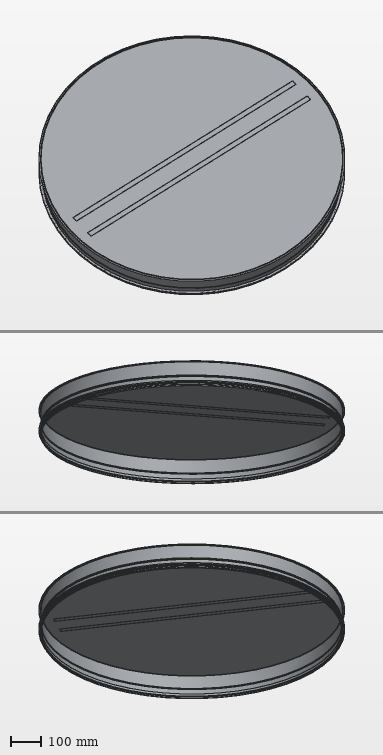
import cadquery as cq

outer_diameter = 1013.0
height = 85.0
sheet = 0.5

outer_radius = outer_diameter / 2
wall_radius = 999.0 / 2
neck_radius = 995.0 / 2
step_radius = 1004.0 / 2

joggle_top = 35.0
joggle_bottom = 32.0
flange_top = 16.0
flange_bottom = 12.0
step_bottom = 9.0

inner_bend_rise = 2.0
inner_shoulder = 5.0

rim_thickness = 2.0
rim_round = rim_thickness / 2
rim_bottom = height - rim_thickness
rim_round_start = outer_radius - rim_round

lid_radius = 1002.0 / 2
lid_bottom = height - sheet

bar_length = 920.0
bar_width = 18.0
bar_thickness = 0.5
bar_spacing = 79.0


def make_shell():
    """Thin turned ring: rounded rim, wall, joggle, neck, stepped flange and skirt."""
    wall_inside = wall_radius - sheet
    neck_inside = neck_radius - sheet
    return (
        cq.Workplane("XZ")
        .moveTo(wall_inside, lid_bottom)
        .lineTo(lid_radius, lid_bottom)
        .lineTo(lid_radius, height)
        .lineTo(rim_round_start, height)
        .threePointArc((outer_radius, height - rim_round), (rim_round_start, rim_bottom))
        .lineTo(wall_radius, rim_bottom)
        .lineTo(wall_radius, joggle_top)
        .lineTo(neck_radius, joggle_bottom)
        .lineTo(neck_radius, flange_top)
        .lineTo(outer_radius, flange_top)
        .lineTo(outer_radius, flange_bottom)
        .lineTo(step_radius, flange_bottom)
        .lineTo(step_radius, step_bottom)
        .lineTo(wall_radius, step_bottom)
        .lineTo(wall_radius, 0)
        .lineTo(wall_inside, 0)
        .lineTo(wall_inside, inner_shoulder)
        .lineTo(neck_inside, inner_shoulder)
        .lineTo(neck_inside, joggle_bottom + inner_bend_rise)
        .lineTo(wall_inside, joggle_top + inner_bend_rise)
        .close()
        .revolve(360, (0, 0, 0), (0, 1, 0))
    )


def make_lid():
    """Thin round sheet, flush with the top of the rim."""
    return cq.Workplane("XY").workplane(offset=lid_bottom).circle(lid_radius).extrude(sheet)


def make_bar(x):
    """Flat bar along Y, touching the underside of the lid."""
    return (
        cq.Workplane("XY")
        .workplane(offset=lid_bottom - bar_thickness)
        .center(x, 0)
        .rect(bar_width, bar_length)
        .extrude(bar_thickness)
    )


shell = make_shell()
lid = make_lid()
bars = [make_bar(side * bar_spacing / 2) for side in (-1, 1)]

result = cq.Compound.makeCompound([shell.val(), lid.val(), *[bar.val() for bar in bars]])